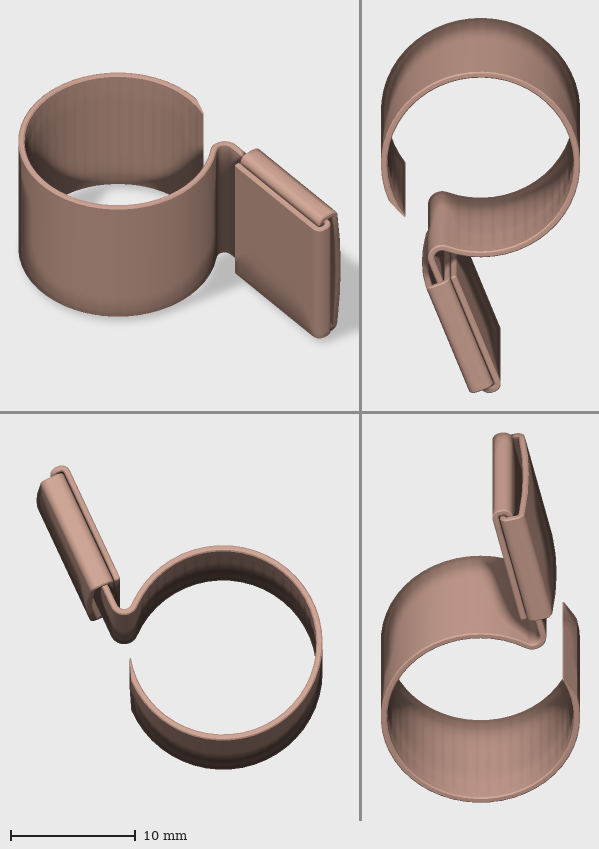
import cadquery as cq
import math

wall = 0.5
edge_chamfer = 0.1

strip_height = 12.0
ring_radius = 8.0
tab_back = 6.92
hook_radius = 0.65
fold_end = 18.65
fold_radius = 0.2
tail_gap = 0.65
tail_start = 8.18
tip_x = 1.97
tip_thickness = 0.1
taper_start_x = 0.2

sleeve_length = 9.8
sleeve_height = 13.1
sleeve_front = 5.85
sleeve_back = 8.25
sleeve_corner = 0.7
sleeve_flat = 0.67

half_wall = wall / 2
ring_inner = ring_radius - wall
hook_outer = hook_radius + wall
hook_y = tab_back - hook_outer
hook_x = math.sqrt((ring_radius + hook_radius) ** 2 - hook_y ** 2)
hook_angle = math.degrees(math.atan2(hook_y, hook_x))
fold_outer = fold_radius + wall
fold_x = fold_end - fold_outer
tab_front = tab_back - wall
tail_back = tab_front - tail_gap
tail_front = tail_back - wall
fold_rear_y = tab_back - fold_outer
fold_front_y = tail_front + fold_outer


def polar(radius, degrees, center=(0, 0)):
    """Point at a radius and an angle about a centre."""
    angle = math.radians(degrees)
    return center[0] + radius * math.cos(angle), center[1] + radius * math.sin(angle)


def strip_blank():
    """Bent strip at full thickness, with its long edges and tail end chamfered."""
    tip_angle = math.degrees(math.acos(tip_x / ring_inner))
    ring_middle = (tip_angle + hook_angle + 360) / 2
    hook = (hook_x, hook_y)
    fold_rear = (fold_x, fold_rear_y)
    fold_front = (fold_x, fold_front_y)
    hook_middle = (hook_angle + 180 + 90) / 2
    outline = (
        cq.Workplane("XY", origin=(0, 0, -strip_height / 2))
        .moveTo(*polar(ring_radius, tip_angle))
        .threePointArc(polar(ring_radius, ring_middle), polar(ring_radius, hook_angle))
        .threePointArc(polar(hook_radius, hook_middle, hook), (hook_x, tab_front))
        .lineTo(fold_x, tab_front)
        .threePointArc(polar(fold_radius, 45, fold_rear), polar(fold_radius, 0, fold_rear))
        .lineTo(*polar(fold_radius, 0, fold_front))
        .threePointArc(polar(fold_radius, -45, fold_front), (fold_x, tail_back))
        .lineTo(tail_start, tail_back)
        .lineTo(tail_start, tail_front)
        .lineTo(fold_x, tail_front)
        .threePointArc(polar(fold_outer, -45, fold_front), (fold_end, fold_front_y))
        .lineTo(fold_end, fold_rear_y)
        .threePointArc(polar(fold_outer, 45, fold_rear), (fold_x, tab_back))
        .lineTo(hook_x, tab_back)
        .threePointArc(polar(hook_outer, hook_middle, hook), polar(ring_inner, hook_angle))
        .threePointArc(polar(ring_inner, ring_middle), polar(ring_inner, tip_angle))
        .close()
    )
    tail_end = cq.selectors.BoxSelector(
        (tail_start - half_wall, tail_front - half_wall, -strip_height),
        (tail_start + half_wall, tail_back + half_wall, strip_height),
    )
    long_edges = cq.StringSyntaxSelector("<Z or >Z")
    return outline.extrude(strip_height).edges(long_edges + tail_end).chamfer(edge_chamfer)


def tip_taper():
    """Waste outside the flat that thins the ring towards its free end."""
    start = (taper_start_x, math.sqrt(ring_radius ** 2 - taper_start_x ** 2))
    end = (tip_x, math.sqrt(ring_inner ** 2 - tip_x ** 2) + tip_thickness)
    slope = (end[1] - start[1]) / (end[0] - start[0])
    past_x = tip_x + wall
    return (
        cq.Workplane("XY", origin=(0, 0, -strip_height / 2))
        .polyline([start, (past_x, start[1]), (past_x, start[1] + slope * (past_x - taper_start_x))])
        .close()
        .extrude(strip_height)
    )


def make_strip():
    """Clip strip with its thinned ring tip."""
    return strip_blank().cut(tip_taper())


def make_sleeve():
    """Tube with a flat front, flat top and bottom, and a bowed rear wall tangent to its corners."""
    top = sleeve_height / 2
    corner_z = top - sleeve_corner
    front_y = sleeve_front + sleeve_corner
    rear_y = front_y + sleeve_flat
    rise = sleeve_back - rear_y
    bow_radius = (rise ** 2 + corner_z ** 2 - sleeve_corner ** 2) / (2 * (rise - sleeve_corner))
    bow_angle = math.degrees(math.asin(corner_z / (bow_radius - sleeve_corner)))
    rear_top = (rear_y, corner_z)
    rear_bottom = (rear_y, -corner_z)
    rear_middle = (bow_angle + 90) / 2
    diagonal = 45
    outer = (
        cq.Workplane("YZ", origin=(tail_start, 0, 0))
        .moveTo(sleeve_front, -corner_z)
        .lineTo(sleeve_front, corner_z)
        .threePointArc(polar(sleeve_corner, 180 - diagonal, (front_y, corner_z)), (front_y, top))
        .lineTo(rear_y, top)
        .threePointArc(polar(sleeve_corner, rear_middle, rear_top), polar(sleeve_corner, bow_angle, rear_top))
        .threePointArc((sleeve_back, 0), polar(sleeve_corner, -bow_angle, rear_bottom))
        .threePointArc(polar(sleeve_corner, -rear_middle, rear_bottom), (rear_y, -top))
        .lineTo(front_y, -top)
        .threePointArc(polar(sleeve_corner, 180 + diagonal, (front_y, -corner_z)), (sleeve_front, -corner_z))
        .close()
        .val()
    )
    inner = outer.offset2D(-wall)
    tube = cq.Solid.extrudeLinear(outer, inner, cq.Vector(sleeve_length, 0, 0))
    return cq.Workplane(tube).faces("<X or >X").edges().chamfer(edge_chamfer)


strip = make_strip()
sleeve = make_sleeve()
result = cq.Compound.makeCompound([strip.solids().val(), sleeve.solids().val()])